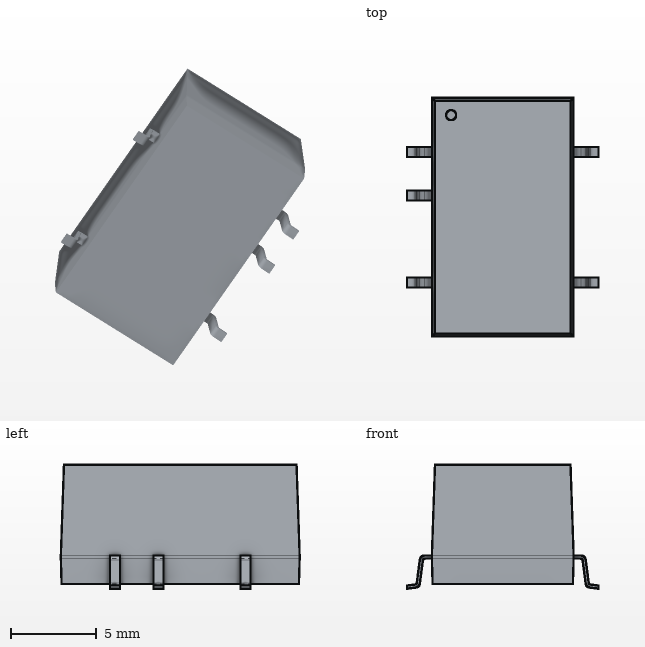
import cadquery as cq
import math

HOUSING_LENGTH = 13.95
HOUSING_WIDTH = 8.29
HOUSING_TOP = 7.25
HOUSING_BOTTOM = 0.28
TOP_INSET = 0.18
BOTTOM_INSET = 0.04

LEAD_THICKNESS = 0.2
LEAD_WIDTH = 0.6
LEAD_TOP = 1.95
LEAD_SPAN = 11.2
LEAD_TILT = math.radians(7.5)
LEG_REACH = 4.81
INNER_BEND_RADIUS = 0.1
OUTER_BEND_RADIUS = INNER_BEND_RADIUS + LEAD_THICKNESS
LEAD_PITCH = 2.54
END_LEAD_Y = 1.5 * LEAD_PITCH
LEFT_LEAD_YS = [END_LEAD_Y, END_LEAD_Y - LEAD_PITCH, -END_LEAD_Y]
RIGHT_LEAD_YS = [END_LEAD_Y, -END_LEAD_Y]

MARKER_DIAMETER = 0.59
MARKER_DEPTH = 0.07
MARKER_X = -3.01
MARKER_Y = 5.95

BAND_TOP = LEAD_TOP
BAND_BOTTOM = BAND_TOP - LEAD_THICKNESS


def make_drafted_block(z_full, z_inset, inset):
    """Block with the full housing outline at z_full and a smaller one at z_inset."""
    return (
        cq.Workplane("XY", origin=(0, 0, z_full))
        .rect(HOUSING_WIDTH, HOUSING_LENGTH)
        .workplane(offset=z_inset - z_full)
        .rect(HOUSING_WIDTH - 2 * inset, HOUSING_LENGTH - 2 * inset)
        .loft(ruled=True)
    )


def make_marker():
    return (
        cq.Workplane("XY", origin=(MARKER_X, MARKER_Y, HOUSING_TOP - MARKER_DEPTH))
        .circle(MARKER_DIAMETER / 2)
        .extrude(MARKER_DEPTH)
    )


def make_housing(marker):
    """Drafted upper and lower parts around a straight band, with a recess for the marker."""
    band = (
        cq.Workplane("XY", origin=(0, 0, BAND_BOTTOM))
        .rect(HOUSING_WIDTH, HOUSING_LENGTH)
        .extrude(BAND_TOP - BAND_BOTTOM)
    )
    upper = make_drafted_block(BAND_TOP, HOUSING_TOP, TOP_INSET)
    lower = make_drafted_block(BAND_BOTTOM, HOUSING_BOTTOM, BOTTOM_INSET)
    return band.union(upper).union(lower).cut(marker)


def make_right_lead(y):
    """Gull-wing lead that meets the +X side of the housing at the band."""
    slope = math.tan(LEAD_TILT)
    wall_x = HOUSING_WIDTH / 2

    tip_x = LEAD_SPAN / 2
    tip_bottom = (tip_x, 0)
    tip_top = (tip_x, LEAD_THICKNESS / math.cos(LEAD_TILT))

    shoulder_outer = (LEG_REACH, LEAD_TOP)
    mitre = LEAD_THICKNESS * math.tan((math.pi / 2 - LEAD_TILT) / 2)
    shoulder_inner = (LEG_REACH - mitre, BAND_BOTTOM)

    ankle_z = (tip_top[1] + (tip_x - LEG_REACH) * slope - LEAD_TOP * slope**2) / (1 - slope**2)
    ankle_x = LEG_REACH + (LEAD_TOP - ankle_z) * slope
    ankle_shift = LEAD_THICKNESS / (math.sin(LEAD_TILT) + math.cos(LEAD_TILT))
    ankle_inner = (ankle_x, ankle_z)
    ankle_outer = (ankle_x - ankle_shift, ankle_z - ankle_shift)

    lead = (
        cq.Workplane("XZ", origin=(0, y + LEAD_WIDTH / 2, 0))
        .polyline([
            (wall_x, LEAD_TOP), shoulder_outer, ankle_inner, tip_top,
            tip_bottom, ankle_outer, shoulder_inner, (wall_x, BAND_BOTTOM),
        ])
        .close()
        .extrude(LEAD_WIDTH)
    )

    def edge_at(corner):
        return cq.selectors.NearestToPointSelector((corner[0], y, corner[1]))

    for corner in (shoulder_outer, ankle_outer):
        lead = lead.edges(edge_at(corner)).fillet(OUTER_BEND_RADIUS)
    for corner in (shoulder_inner, ankle_inner):
        lead = lead.edges(edge_at(corner)).fillet(INNER_BEND_RADIUS)
    return lead


def make_left_lead(y):
    return make_right_lead(y).mirror("YZ")


marker = make_marker()
housing = make_housing(marker)
left_leads = [make_left_lead(y) for y in LEFT_LEAD_YS]
right_leads = [make_right_lead(y) for y in RIGHT_LEAD_YS]

result = cq.Compound.makeCompound([
    housing.val(),
    marker.val(),
    *[lead.val() for lead in left_leads + right_leads],
])